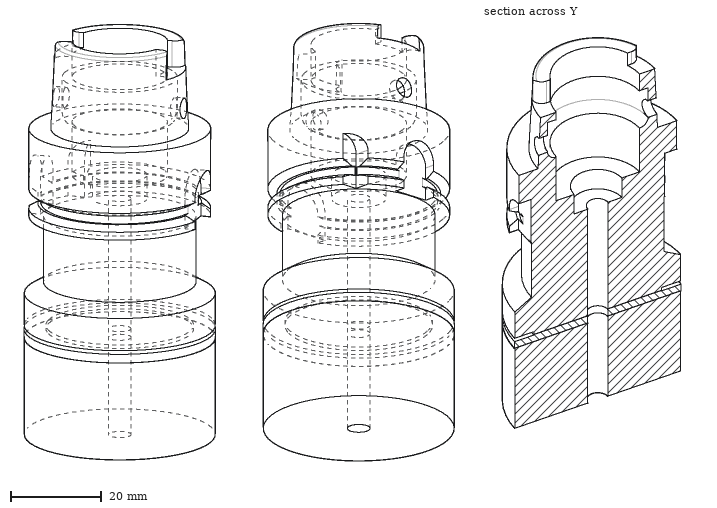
import cadquery as cq
import math

TOTAL_HEIGHT = 90.0
COOLANT_RADIUS = 2.5

NUT_RADIUS = 21.1
NUT_TOP = 22.2
RING_RADIUS = 21.15
RING_TOP = 24.2

STEM_RADIUS = 16.3
HEAD_RADIUS = NUT_RADIUS
HEAD_BOTTOM = 25.0
HEAD_EDGE = 32.4
NECK_RADIUS = 16.8
NECK_BOTTOM = 34.9

FLANGE_RADIUS = 20.1
FLANGE_BOTTOM = 50.0
FLANGE_TOP = 70.0
GROOVE_RADIUS = 17.4
GROOVE_LEDGE_RADIUS = 18.1
GROOVE_HEIGHT = 2.0
GROOVE_MOUTH_HEIGHT = 4.3
GROOVE_MIDDLE = 54.0

TAPER_BASE_RADIUS = 15.2
TAPER_TOP_RADIUS = 14.3
RIM_FILLET = 0.7
BORE_RADIUS = 10.5
BORE_FLOOR = 59.4
STEP_RADIUS = 6.0
STEP_FLOOR = 54.0

CLAMP_GROOVE_RADIUS = 12.7
CLAMP_GROOVE_TOP = 81.8
CLAMP_ROUND_TOP = 73.7

RIM_SLOT_WIDTH = 7.9
RIM_SLOT_CORNER = 2.2
LUG_REACH = 13.0
LEFT_SLOT_DEPTH = 3.4
RIGHT_SLOT_DEPTH = 6.0

CROSS_HOLE_RADIUS = 2.25
CROSS_HOLE_HEIGHT = 76.0

KEYWAY_FLOOR = 17.0
LEFT_KEYWAY_WIDTH = 8.8
RIGHT_KEYWAY_WIDTH = 11.0
KEYWAY_TOP = 62.0
INDEX_SLOT_WIDTH = 8.0
INDEX_SLOT_OFFSET = 16.0
INDEX_SLOT_FLOOR = 12.2

CLEARANCE = 4.5


def revolve(profile):
    """Revolve (radius, height) points, closed along the axis, about Z."""
    return cq.Workplane("XZ").polyline(profile).close().revolve(360, (0, 0), (0, 1))


def holder_blank():
    outline = [
        (0, RING_TOP),
        (STEM_RADIUS, RING_TOP),
        (STEM_RADIUS, HEAD_BOTTOM),
        (HEAD_RADIUS, HEAD_BOTTOM),
        (HEAD_RADIUS, HEAD_EDGE),
        (NECK_RADIUS, NECK_BOTTOM),
        (NECK_RADIUS, FLANGE_BOTTOM),
        (FLANGE_RADIUS, FLANGE_BOTTOM),
        (FLANGE_RADIUS, GROOVE_MIDDLE - GROOVE_MOUTH_HEIGHT / 2),
        (GROOVE_LEDGE_RADIUS, GROOVE_MIDDLE - GROOVE_HEIGHT / 2),
        (GROOVE_RADIUS, GROOVE_MIDDLE - GROOVE_HEIGHT / 2),
        (GROOVE_RADIUS, GROOVE_MIDDLE + GROOVE_HEIGHT / 2),
        (GROOVE_LEDGE_RADIUS, GROOVE_MIDDLE + GROOVE_HEIGHT / 2),
        (FLANGE_RADIUS, GROOVE_MIDDLE + GROOVE_MOUTH_HEIGHT / 2),
        (FLANGE_RADIUS, FLANGE_TOP),
        (TAPER_BASE_RADIUS, FLANGE_TOP),
        (TAPER_TOP_RADIUS, TOTAL_HEIGHT),
        (0, TOTAL_HEIGHT),
    ]
    return revolve(outline).faces(">Z").edges().fillet(RIM_FILLET)


def holder_bore():
    """Stepped bore: coolant hole, counterbore and main bore."""
    outline = [
        (0, RING_TOP),
        (COOLANT_RADIUS, RING_TOP),
        (COOLANT_RADIUS, STEP_FLOOR),
        (STEP_RADIUS, STEP_FLOOR),
        (STEP_RADIUS, BORE_FLOOR),
        (BORE_RADIUS, BORE_FLOOR),
        (BORE_RADIUS, TOTAL_HEIGHT),
        (0, TOTAL_HEIGHT),
    ]
    return revolve(outline)


def clamp_groove():
    """Ring-shaped recess widening the bore, with a quarter round running back into the bore wall."""
    round_radius = CLAMP_GROOVE_RADIUS - BORE_RADIUS
    arc_shift = round_radius * math.sqrt(0.5)
    return (
        cq.Workplane("XZ")
        .moveTo(0, CLAMP_ROUND_TOP - round_radius)
        .lineTo(BORE_RADIUS, CLAMP_ROUND_TOP - round_radius)
        .threePointArc(
            (BORE_RADIUS + arc_shift, CLAMP_ROUND_TOP - arc_shift),
            (CLAMP_GROOVE_RADIUS, CLAMP_ROUND_TOP),
        )
        .lineTo(CLAMP_GROOVE_RADIUS, CLAMP_GROOVE_TOP)
        .lineTo(0, CLAMP_GROOVE_TOP)
        .close()
        .revolve(360, (0, 0), (0, 1))
    )


def rim_slot(side, depth):
    """Slot in the shank rim on the +X (side = 1) or -X (side = -1) half, flared by round corners."""
    half_width = RIM_SLOT_WIDTH / 2
    flare_start = LUG_REACH - RIM_SLOT_CORNER
    flare_half_width = half_width + RIM_SLOT_CORNER
    arc_inset = RIM_SLOT_CORNER * math.sqrt(0.5)
    arc_x = flare_start + arc_inset
    arc_y = flare_half_width - arc_inset
    outer_x = TAPER_BASE_RADIUS + CLEARANCE
    return (
        cq.Workplane("XY", origin=(0, 0, TOTAL_HEIGHT - depth))
        .moveTo(0, -half_width)
        .lineTo(side * flare_start, -half_width)
        .threePointArc((side * arc_x, -arc_y), (side * LUG_REACH, -flare_half_width))
        .lineTo(side * LUG_REACH, -TAPER_BASE_RADIUS)
        .lineTo(side * outer_x, -TAPER_BASE_RADIUS)
        .lineTo(side * outer_x, TAPER_BASE_RADIUS)
        .lineTo(side * LUG_REACH, TAPER_BASE_RADIUS)
        .lineTo(side * LUG_REACH, flare_half_width)
        .threePointArc((side * arc_x, arc_y), (side * flare_start, half_width))
        .lineTo(0, half_width)
        .close()
        .extrude(depth)
    )


def flange_slot(side, width, floor, offset):
    """Round-topped slot, open below the flange, cut along X down to a flat floor at x = side * floor."""
    half_width = width / 2
    arc_center = KEYWAY_TOP - half_width
    reach = FLANGE_RADIUS + CLEARANCE - floor
    return (
        cq.Workplane("YZ", origin=(side * floor, offset, 0))
        .moveTo(-half_width, FLANGE_BOTTOM)
        .lineTo(-half_width, arc_center)
        .threePointArc((0, KEYWAY_TOP), (half_width, arc_center))
        .lineTo(half_width, FLANGE_BOTTOM)
        .close()
        .extrude(side * reach)
    )


def cross_hole():
    length = 2 * (TAPER_BASE_RADIUS + CLEARANCE)
    return (
        cq.Workplane("YZ", origin=(0, 0, CROSS_HOLE_HEIGHT))
        .circle(CROSS_HOLE_RADIUS)
        .extrude(length / 2, both=True)
    )


def make_holder():
    return (
        holder_blank()
        .cut(holder_bore())
        .cut(clamp_groove())
        .cut(rim_slot(-1, LEFT_SLOT_DEPTH))
        .cut(rim_slot(1, RIGHT_SLOT_DEPTH))
        .cut(cross_hole())
        .cut(flange_slot(-1, LEFT_KEYWAY_WIDTH, KEYWAY_FLOOR, 0))
        .cut(flange_slot(1, RIGHT_KEYWAY_WIDTH, KEYWAY_FLOOR, 0))
        .cut(flange_slot(-1, INDEX_SLOT_WIDTH, INDEX_SLOT_FLOOR, INDEX_SLOT_OFFSET))
    )


def make_disc(radius, bottom, top):
    """Solid disc pierced by the coolant hole."""
    return (
        cq.Workplane("XY", origin=(0, 0, bottom))
        .circle(radius)
        .circle(COOLANT_RADIUS)
        .extrude(top - bottom)
    )


holder = make_holder()
lock_ring = make_disc(RING_RADIUS, NUT_TOP, RING_TOP)
nut = make_disc(NUT_RADIUS, 0, NUT_TOP)

result = cq.Compound.makeCompound([holder.val(), lock_ring.val(), nut.val()])